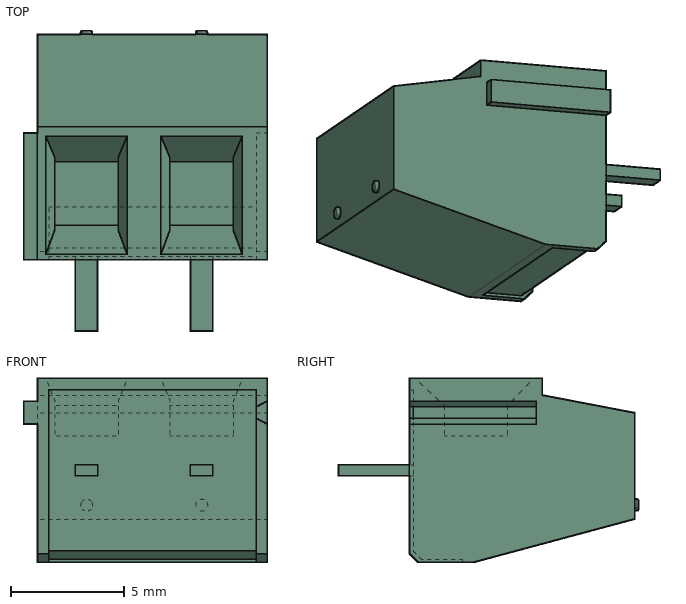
import cadquery as cq


pitch = 5.08
pole_count = 2
body_width = pitch * pole_count
body_depth = 9.95
body_height = 8.13
deck_depth = 5.87
shoulder_height = 7.39
rear_top_height = 6.61
rear_bottom_height = 1.91
foot_depth = 2.84
foot_chamfer = 0.37

wall = 0.5
recess_depth = 0.16
recess_lift = 0.13

rail_projection = 0.61
rail_height = 1.02
rail_length = 5.6
rail_drop = 1.01
groove_floor_height = 0.5

terminal_shift = -0.37
terminal_xs = [terminal_shift + (i - (pole_count - 1) / 2) * pitch for i in range(pole_count)]

mouth_width = 3.6
mouth_depth = 5.23
mouth_front = 0.24
well_size = 2.8
well_front = 1.53
side_taper_depth = 1.0
end_taper_depth = 1.2
well_depth = 2.53

pin_width = 1.0
pin_thickness = 0.5
pin_length = 3.15

tip_diameter = 0.53
tip_projection = 0.17
tip_round = 0.1
tip_height = 2.53

body_left = -body_width / 2
body_right = body_width / 2


def side_prism(points, x_start, width):
    """Extrude a (Y, Z) outline along +X."""
    return cq.Workplane("YZ", origin=(x_start, 0, 0)).polyline(points).close().extrude(width)


def make_body():
    outline = [
        (0, foot_chamfer),
        (0, body_height),
        (deck_depth, body_height),
        (deck_depth, shoulder_height),
        (body_depth, rear_top_height),
        (body_depth, rear_bottom_height),
        (foot_depth, 0),
        (foot_chamfer, 0),
    ]
    return side_prism(outline, body_left, body_width)


def make_recess():
    """The recessed face repeats the foot chamfer, stepped inward and upward."""
    outline = [
        (0, body_height - wall),
        (recess_depth, body_height - wall),
        (recess_depth, recess_lift + foot_chamfer),
        (recess_depth + foot_chamfer, recess_lift),
        (foot_depth - wall, recess_lift),
        (foot_depth - wall, 0),
        (0, 0),
    ]
    return side_prism(outline, body_left + wall, body_width - 2 * wall)


def make_rail():
    bottom = body_height - rail_drop - rail_height
    return cq.Workplane("XY").box(rail_projection, rail_length, rail_height, centered=False).translate(
        (body_left - rail_projection, 0, bottom)
    )


def make_groove():
    """Groove that narrows inward through the side wall."""
    middle = body_height - rail_drop - rail_height / 2
    outline = [
        (body_right, middle - rail_height / 2),
        (body_right, middle + rail_height / 2),
        (body_right - wall, middle + groove_floor_height / 2),
        (body_right - wall, middle - groove_floor_height / 2),
    ]
    return cq.Workplane("XZ").polyline(outline).close().extrude(-rail_length)


def make_wire_opening(x):
    side_wedge = (
        cq.Workplane("XZ")
        .polyline([
            (x - mouth_width / 2, body_height),
            (x + mouth_width / 2, body_height),
            (x + well_size / 2, body_height - side_taper_depth),
            (x + well_size / 2, body_height - well_depth),
            (x - well_size / 2, body_height - well_depth),
            (x - well_size / 2, body_height - side_taper_depth),
        ])
        .close()
        .extrude(-body_depth)
    )
    end_wedge = side_prism(
        [
            (mouth_front, body_height),
            (mouth_front + mouth_depth, body_height),
            (well_front + well_size, body_height - end_taper_depth),
            (well_front + well_size, body_height - well_depth),
            (well_front, body_height - well_depth),
            (well_front, body_height - end_taper_depth),
        ],
        x - mouth_width / 2,
        mouth_width,
    )
    return side_wedge.intersect(end_wedge)


def make_pin(x):
    root = recess_depth
    return cq.Workplane("XY").box(pin_width, pin_length + root, pin_thickness).translate(
        (x, (root - pin_length) / 2, body_height / 2)
    )


def make_screw_tip(x):
    return (
        cq.Workplane("XZ", origin=(x, body_depth, tip_height))
        .circle(tip_diameter / 2)
        .extrude(-tip_projection)
        .faces(">Y")
        .edges()
        .fillet(tip_round)
    )


result = make_body().cut(make_recess()).cut(make_groove()).union(make_rail())
for terminal_x in terminal_xs:
    result = result.cut(make_wire_opening(terminal_x))
    result = result.union(make_pin(terminal_x)).union(make_screw_tip(terminal_x))